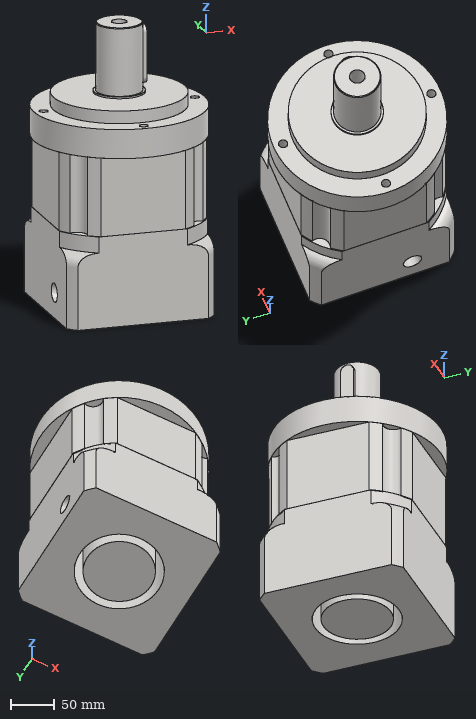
import cadquery as cq
import math

ADAPTER_TOP = 110.8
FLANGE_BOTTOM = 206.0
FLANGE_TOP = 241.0
PILOT_TOP = 256.5
COLLAR_TOP = 258.5
SHAFT_TOP = 341.0

SQUARE_SIDE = 180.0
CORNER_COUNT = 4

ADAPTER_CORNER_RADIUS = 120.0
CORNER_RADIUS = 105.0
CORNER_STEP_HEIGHT = 91.5
CORNER_STEP_FILLET = ADAPTER_CORNER_RADIUS - CORNER_RADIUS
ADAPTER_BORE_DIAMETER = 104.5
ACCESS_HOLE_DIAMETER = 22.5
ACCESS_HOLE_Y = -33.8
ACCESS_HOLE_HEIGHT = 31.0

FLANGE_DIAMETER = 208.0
PILOT_DIAMETER = 160.0
COLLAR_DIAMETER = 60.7
SHAFT_DIAMETER = 55.0
SHAFT_CHAMFER = 1.0
HUB_DIAMETER = 84.0
CASE_CORNER_DIAMETER = 207.3
GROOVE_RADIUS = 12.3
GROOVE_CENTRE_RADIUS = 107.5

DRILL_POINT_ANGLE = 118.0
FLANGE_HOLE_COUNT = 4
FLANGE_HOLE_DIAMETER = 10.2
FLANGE_HOLE_DEPTH = 25.0
FLANGE_HOLE_CIRCLE_RADIUS = 92.0
SHAFT_HOLE_DIAMETER = 17.7
SHAFT_HOLE_DEPTH = 41.0

KEY_WIDTH = 16.0
KEY_THICKNESS = 10.0
KEY_LENGTH = 70.0
KEY_OUTER_X = 31.5
KEY_TOP_GAP = 6.0
KEY_INNER_X = KEY_OUTER_X - KEY_THICKNESS
KEY_CENTRE_HEIGHT = SHAFT_TOP - KEY_TOP_GAP - KEY_LENGTH / 2


def cylinder(diameter, bottom, top):
    """Cylinder on the Z axis between two heights."""
    return cq.Workplane("XY").workplane(offset=bottom).circle(diameter / 2).extrude(top - bottom)


def square_block(bottom, top):
    """Square block centred on the Z axis between two heights."""
    return cq.Workplane("XY").workplane(offset=bottom).rect(SQUARE_SIDE, SQUARE_SIDE).extrude(top - bottom)


def drilled_hole(diameter, depth, x, top):
    """Cutter for a vertical blind hole with a conical drill point."""
    radius = diameter / 2
    point_length = radius / math.tan(math.radians(DRILL_POINT_ANGLE / 2))
    profile = (
        cq.Workplane("XZ")
        .moveTo(0, 0)
        .lineTo(radius, 0)
        .lineTo(radius, -depth)
        .lineTo(0, -depth - point_length)
        .close()
    )
    return profile.revolve(360, (0, 0), (0, 1)).translate((x, 0, top))


def make_adapter():
    """Square motor adapter with stepped, rounded corners and a clamp-screw access hole."""
    corner_envelope = (
        cq.Workplane("XZ")
        .moveTo(0, 0)
        .lineTo(ADAPTER_CORNER_RADIUS, 0)
        .lineTo(ADAPTER_CORNER_RADIUS, CORNER_STEP_HEIGHT - CORNER_STEP_FILLET)
        .radiusArc((CORNER_RADIUS, CORNER_STEP_HEIGHT), -CORNER_STEP_FILLET)
        .lineTo(CORNER_RADIUS, ADAPTER_TOP)
        .lineTo(0, ADAPTER_TOP)
        .close()
        .revolve(360, (0, 0), (0, 1))
    )
    bore = cylinder(ADAPTER_BORE_DIAMETER, 0, ADAPTER_TOP)
    access_hole = (
        cq.Workplane("YZ")
        .center(ACCESS_HOLE_Y, ACCESS_HOLE_HEIGHT)
        .circle(ACCESS_HOLE_DIAMETER / 2)
        .extrude(-SQUARE_SIDE / 2)
    )
    return square_block(0, ADAPTER_TOP).intersect(corner_envelope).cut(bore).cut(access_hole)


def make_case():
    """Square gear case with round corners and a vertical groove down each corner."""
    case = square_block(ADAPTER_TOP, FLANGE_BOTTOM)
    case = case.intersect(cylinder(CASE_CORNER_DIAMETER, ADAPTER_TOP, FLANGE_BOTTOM))
    grooves = (
        cq.Workplane("XY")
        .workplane(offset=ADAPTER_TOP)
        .polarArray(GROOVE_CENTRE_RADIUS, 45, 360, CORNER_COUNT)
        .circle(GROOVE_RADIUS)
        .extrude(FLANGE_BOTTOM - ADAPTER_TOP)
    )
    return case.cut(grooves)


def make_gearbox(key):
    """Gear case, output flange, shaft and input hub as one solid, with a keyway for the key."""
    shaft = cylinder(SHAFT_DIAMETER, COLLAR_TOP, SHAFT_TOP).faces(">Z").chamfer(SHAFT_CHAMFER)
    gearbox = (
        make_case()
        .union(cylinder(FLANGE_DIAMETER, FLANGE_BOTTOM, FLANGE_TOP))
        .union(cylinder(PILOT_DIAMETER, FLANGE_TOP, PILOT_TOP))
        .union(cylinder(COLLAR_DIAMETER, PILOT_TOP, COLLAR_TOP))
        .union(shaft)
        .union(cylinder(HUB_DIAMETER, 0, ADAPTER_TOP))
    )
    gearbox = gearbox.cut(drilled_hole(SHAFT_HOLE_DIAMETER, SHAFT_HOLE_DEPTH, 0, SHAFT_TOP))
    flange_hole = drilled_hole(FLANGE_HOLE_DIAMETER, FLANGE_HOLE_DEPTH, FLANGE_HOLE_CIRCLE_RADIUS, FLANGE_TOP)
    for index in range(FLANGE_HOLE_COUNT):
        angle = index * 360 / FLANGE_HOLE_COUNT
        gearbox = gearbox.cut(flange_hole.rotate((0, 0, 0), (0, 0, 1), angle))
    return gearbox.cut(key)


def make_key():
    """Round-ended parallel key, standing proud of the shaft."""
    return (
        cq.Workplane("YZ")
        .workplane(offset=KEY_INNER_X)
        .center(0, KEY_CENTRE_HEIGHT)
        .slot2D(KEY_LENGTH, KEY_WIDTH, 90)
        .extrude(KEY_THICKNESS)
    )


key = make_key()
gearbox = make_gearbox(key)
adapter = make_adapter()

result = cq.Compound.makeCompound([adapter.val(), gearbox.val(), key.val()])